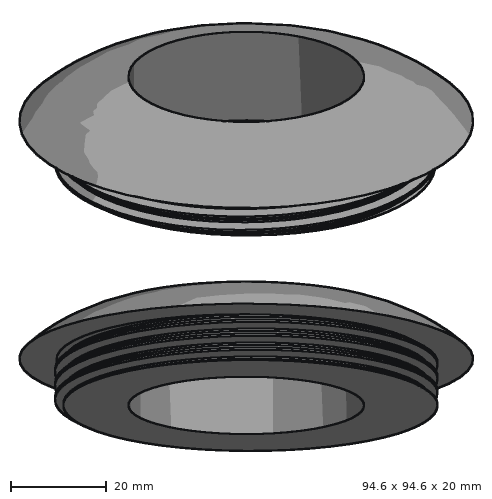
import cadquery as cq
import math


flange_diameter = 94.6
bore_diameter = 49.1
flange_height = 10.0
dome_arc_radius = 38.0

neck_height = 10.0
flange_overlap = 1.0
thread_major_diameter = 79.76
thread_minor_diameter = 76.32
thread_pitch = 3.0
root_flat = 0.5
flank_angle = math.radians(30)
crest_height_at_x_axis = 1.875
tooth_embed = 0.2
turns_below_neck = 2
turns_above_neck = 1

flange_radius = flange_diameter / 2
bore_radius = bore_diameter / 2
major_radius = thread_major_diameter / 2
minor_radius = thread_minor_diameter / 2
trim_radius = major_radius + thread_pitch


def dome_midpoint():
    """Point (radius, Z) halfway along the dome arc, between bore and rim."""
    run = flange_radius - bore_radius
    chord = math.hypot(run, flange_height)
    sagitta = dome_arc_radius - math.sqrt(dome_arc_radius**2 - (chord / 2) ** 2)
    chord_mid_radius = (flange_radius + bore_radius) / 2
    chord_mid_z = flange_height / 2
    return (
        chord_mid_radius + sagitta * flange_height / chord,
        chord_mid_z + sagitta * run / chord,
    )


def make_flange():
    """Flat-bottomed ring with a convex top that falls from the bore to a sharp rim."""
    return (
        cq.Workplane("XZ")
        .moveTo(bore_radius, 0)
        .lineTo(flange_radius, 0)
        .threePointArc(dome_midpoint(), (bore_radius, flange_height))
        .close()
        .revolve(360, (0, 0), (0, 1))
    )


def make_ring(outer_radius):
    """Plain ring from the neck's lower end up into the flange."""
    return (
        cq.Workplane("XY")
        .workplane(offset=-neck_height)
        .circle(outer_radius)
        .circle(bore_radius)
        .extrude(neck_height + flange_overlap)
    )


def make_thread():
    """Right-hand helical tooth, trimmed flush with the neck's lower end."""
    flank_slope = math.tan(flank_angle)
    root_half_width = (thread_pitch - root_flat) / 2
    crest_half_width = root_half_width - (major_radius - minor_radius) * flank_slope
    base_half_width = root_half_width + tooth_embed * flank_slope
    base_radius = minor_radius - tooth_embed

    start_z = -neck_height + crest_height_at_x_axis - turns_below_neck * thread_pitch
    turns_on_neck = math.ceil(neck_height / thread_pitch)
    helix_height = (turns_below_neck + turns_on_neck + turns_above_neck) * thread_pitch
    helix = cq.Wire.makeHelix(thread_pitch, helix_height, minor_radius)
    path = cq.Workplane(helix.translate(cq.Vector(0, 0, start_z)))

    tooth = (
        cq.Workplane("XZ")
        .polyline(
            [
                (base_radius, start_z - base_half_width),
                (major_radius, start_z - crest_half_width),
                (major_radius, start_z + crest_half_width),
                (base_radius, start_z + base_half_width),
            ]
        )
        .close()
        .sweep(path, isFrenet=True)
    )
    return tooth.intersect(make_ring(trim_radius))


threaded_neck = make_ring(minor_radius).union(make_thread())
result = threaded_neck.union(make_flange())